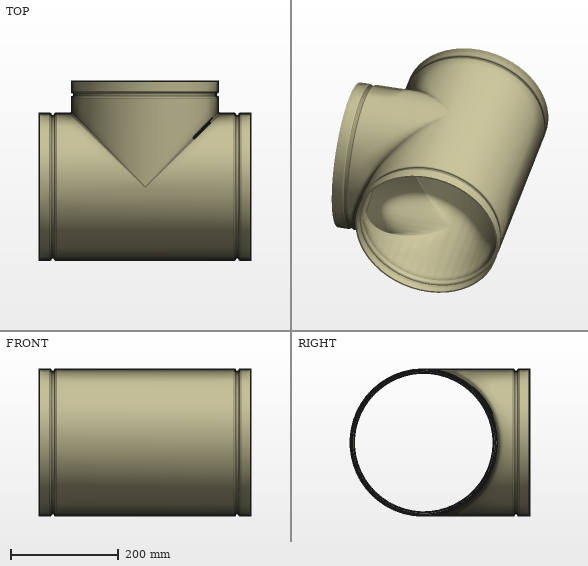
import cadquery as cq

run_length = 393.7
total_width = 333.5
pipe_diameter = 273.2
wall = 3.0
outer_radius = pipe_diameter / 2
bore_radius = outer_radius - wall
half_run = run_length / 2
branch_reach = total_width - outer_radius

groove_depth = 4.0
groove_near_edge = 19.0
groove_far_edge = 31.5
shoulder_radius = 2.8
root_radius = groove_depth - shoulder_radius
bead_radius = root_radius + wall
cutter_margin = 4.0

joint_radius = 2.8
bore_joint_radius = 4.0


def ring(profile):
    """Ring swept by a closed profile turned around the X axis."""
    return profile.close().revolve(360, (0, 0, 0), (1, 0, 0))


def outer_groove(reach):
    """Ring removed outside at the pipe end x = reach, with rounded shoulders and roots."""
    near_edge = reach - groove_near_edge
    far_edge = reach - groove_far_edge
    near_wall = near_edge - shoulder_radius
    far_wall = far_edge + shoulder_radius
    root_top = outer_radius - shoulder_radius
    floor_radius = outer_radius - groove_depth
    top_radius = outer_radius + cutter_margin
    return ring(
        cq.Workplane("XY")
        .moveTo(near_edge, outer_radius)
        .radiusArc((near_wall, root_top), -shoulder_radius)
        .radiusArc((near_wall - root_radius, floor_radius), root_radius)
        .lineTo(far_wall + root_radius, floor_radius)
        .radiusArc((far_wall, root_top), root_radius)
        .radiusArc((far_edge, outer_radius), -shoulder_radius)
        .lineTo(far_edge, top_radius)
        .lineTo(near_edge, top_radius)
    )


def bore_bead(reach):
    """Ring missing from the bore void at the pipe end x = reach: a flat crest with round flanks."""
    crest_inset = shoulder_radius + root_radius
    near_crest = reach - groove_near_edge - crest_inset
    far_crest = reach - groove_far_edge + crest_inset
    near_foot = near_crest + bead_radius
    far_foot = far_crest - bead_radius
    crest_radius = bore_radius - groove_depth
    foot_radius = crest_radius + bead_radius
    return ring(
        cq.Workplane("XY")
        .moveTo(near_foot, foot_radius)
        .radiusArc((near_crest, crest_radius), bead_radius)
        .lineTo(far_crest, crest_radius)
        .radiusArc((far_foot, foot_radius), bead_radius)
    )


def half_pipe(radius, reach, end_ring):
    """Solid round bar along +X from the origin with a ring cut near its open end."""
    return cq.Workplane("YZ").circle(radius).extrude(reach).cut(end_ring(reach))


def tee_body(radius, joint_rounding, end_ring):
    """Solid tee of the given radius, with a rounded joint and a ring cut at each open end."""
    right_run = half_pipe(radius, half_run, end_ring)
    left_run = right_run.mirror("YZ")
    branch = half_pipe(radius, branch_reach, end_ring).rotate((0, 0, 0), (0, 0, 1), 90)
    sharp_tee = right_run.union(left_run, clean=False).union(branch, clean=False)
    return sharp_tee.edges("%ELLIPSE").fillet(joint_rounding).clean()


outside = tee_body(outer_radius, joint_radius, outer_groove)
bore = tee_body(bore_radius, bore_joint_radius, bore_bead)
result = outside.cut(bore).solids()